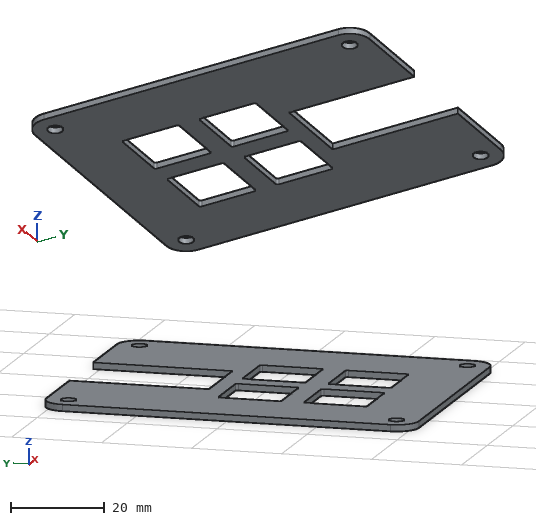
import cadquery as cq

plate_width = 65.5
plate_length = 82.8
plate_thickness = 1.5
corner_radius = 5.0

mount_hole_diameter = 3.4
mount_spacing_x = plate_width - 2 * corner_radius
mount_spacing_y = plate_length - 2 * corner_radius

key_center_x = -0.3

notch_width = 18.45
notch_depth = 30.95

key_columns = 2
key_rows = 2
key_size = 14.0
key_pitch = 19.0
key_corner_radius = 0.5
key_center_y = -10.2


def make_plate():
    """Flat plate with rounded corners."""
    plate = cq.Workplane("XY").rect(plate_width, plate_length).extrude(plate_thickness)
    return plate.edges("|Z").fillet(corner_radius)


def make_mount_holes():
    """Cutters for the through holes in the four corners."""
    return (
        cq.Workplane("XY")
        .rect(mount_spacing_x, mount_spacing_y, forConstruction=True)
        .vertices()
        .circle(mount_hole_diameter / 2)
        .extrude(plate_thickness)
    )


def make_notch():
    """Cutter for the rectangular notch, centred on the +Y edge so half of it is in the plate."""
    return (
        cq.Workplane("XY")
        .center(key_center_x, plate_length / 2)
        .rect(notch_width, 2 * notch_depth)
        .extrude(plate_thickness)
    )


def make_key_cutouts():
    """Cutters for the grid of square openings with small corner radii."""
    return (
        cq.Workplane("XY")
        .center(key_center_x, key_center_y)
        .rarray(key_pitch, key_pitch, key_columns, key_rows)
        .rect(key_size, key_size)
        .extrude(plate_thickness)
        .edges("|Z")
        .fillet(key_corner_radius)
    )


result = make_plate().cut(make_mount_holes()).cut(make_notch()).cut(make_key_cutouts())